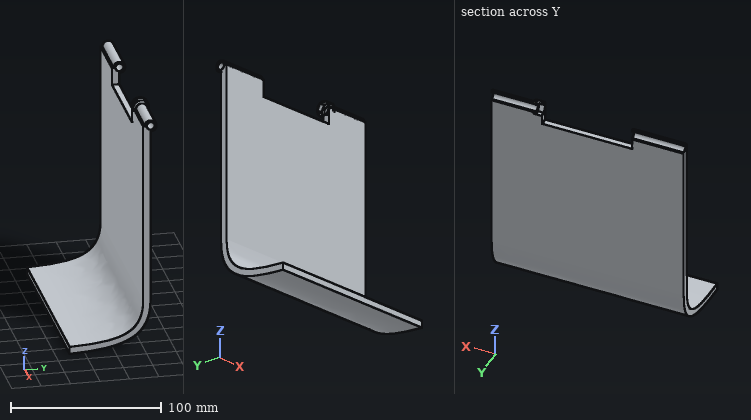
import cadquery as cq
import math

width = 140.0
height = 165.5
depth = 60.5
thickness = 5.1

collar_radius = 5.5
tube_radius = 4.0
bore_diameter = 5.5
hinge_z = height - collar_radius
lip_y = collar_radius - depth

notch_start = 37.5
notch_end = 103.1
notch_floor = 148.0

collar_length = 5.5
cone_length = 1.8
corner_breakthrough = 0.03
socket_across_corners = 2 * (collar_radius + corner_breakthrough)
socket_depth = 4.3

bend_top = 34.8
lip_tilt = math.radians(2)
front_upper_handle = 24.0
front_lip_handle = 34.8
back_upper_handle = 27.5
back_lip_handle = 37.2


def hinge_plane(x):
    """Plane across the hinge axis at x, with local axes Y and Z."""
    return cq.Workplane("YZ", origin=(x, 0, hinge_z))


def bend_curve(upright_y, lip_z, upper_handle, lip_handle):
    """Control points of one face of the bend, from the upright down to the lip."""
    return [
        (upright_y, bend_top),
        (upright_y, bend_top - upper_handle),
        (lip_y + lip_handle * math.cos(lip_tilt), lip_z + lip_handle * math.sin(lip_tilt)),
        (lip_y, lip_z),
    ]


def make_plate():
    """Upright plate that sweeps forward at the bottom into a nearly level lip."""
    front_curve = bend_curve(-thickness, thickness, front_upper_handle, front_lip_handle)
    back_curve = bend_curve(0, 0, back_upper_handle, back_lip_handle)
    plate = (
        cq.Workplane("YZ")
        .moveTo(0, hinge_z)
        .lineTo(0, bend_top)
        .bezier(back_curve)
        .lineTo(lip_y, thickness)
        .bezier(front_curve[::-1])
        .lineTo(-thickness, hinge_z)
        .close()
        .extrude(width)
    )
    notch = cq.Workplane("XY").box(
        notch_end - notch_start, 2 * thickness, height - notch_floor, centered=(False, True, False)
    )
    return plate.cut(notch.translate((notch_start, -thickness / 2, notch_floor)))


def make_tube(start, end):
    return hinge_plane(start).circle(tube_radius).extrude(end - start)


def make_collar():
    """Screw-head collar with a cone running down to the tube."""
    collar = hinge_plane(notch_end).circle(collar_radius).extrude(collar_length)
    cone = (
        hinge_plane(notch_end + collar_length)
        .circle(collar_radius)
        .workplane(offset=cone_length)
        .circle(tube_radius)
        .loft()
    )
    return collar.union(cone)


bore = hinge_plane(0).circle(bore_diameter / 2).extrude(width)
socket = (
    hinge_plane(notch_end)
    .polygon(6, socket_across_corners)
    .extrude(socket_depth)
)

result = (
    make_plate()
    .union(make_tube(0, notch_start))
    .union(make_tube(notch_end, width))
    .union(make_collar())
    .cut(bore)
    .cut(socket)
)